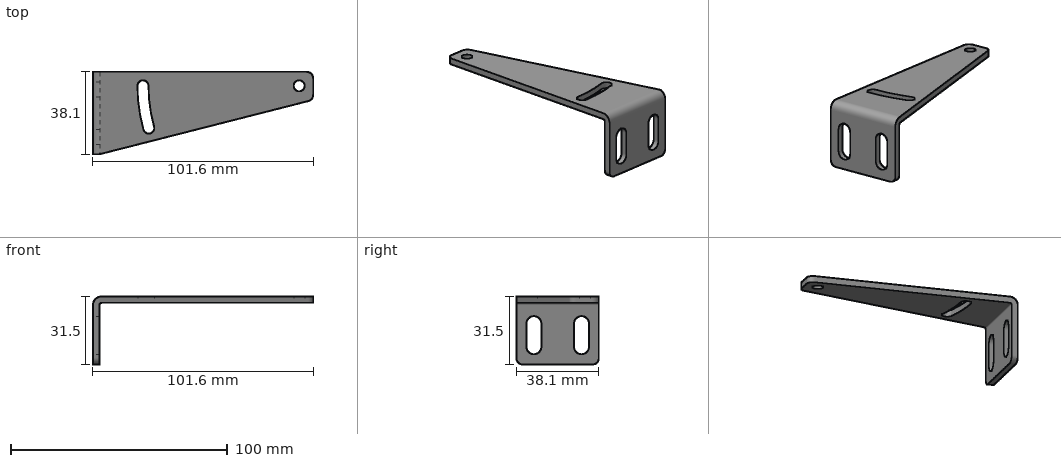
import cadquery as cq
import math

length = 101.6
width = 38.1
height = 31.5
thickness = 3.0
bend_outer_radius = 4.0
bend_inner_radius = bend_outer_radius - thickness

tip_width = 13.0
corner_radius = 3.0

pivot_diameter = 5.0
pivot_x = length - 6.5
pivot_y = width - 6.5
arc_slot_radius = 72.0
arc_slot_width = 5.0
arc_slot_sweep = 15.7

mount_slot_width = 6.8
mount_slot_length = 17.5
mount_slot_spacing = 21.9
mount_slot_edge = 8.1
mount_slot_z = 13.6


def make_bent_sheet():
    """L-shaped sheet with a rounded bend, running along Y."""
    profile = (
        cq.Workplane("XZ")
        .polyline([
            (0, 0),
            (thickness, 0),
            (thickness, height - thickness),
            (length, height - thickness),
            (length, height),
            (0, height),
        ])
        .close()
        .extrude(-width)
    )
    inner_corner = cq.NearestToPointSelector((thickness, width / 2, height - thickness))
    outer_corner = cq.NearestToPointSelector((0, width / 2, height))
    profile = profile.edges("|Y").edges(inner_corner).fillet(bend_inner_radius)
    return profile.edges("|Y").edges(outer_corner).fillet(bend_outer_radius)


def make_arm_outline():
    """Plan outline, full width at the bend and narrowing to a rounded tip."""
    return (
        cq.Workplane("XY")
        .polyline([
            (0, 0),
            (thickness, 0),
            (length, width - tip_width),
            (length, width),
            (0, width),
        ])
        .close()
        .extrude(height)
        .edges("|Z and >X")
        .fillet(corner_radius)
    )


def make_arc_slot():
    """Curved slot with round ends, starting level with the pivot and turning toward -Y."""
    def point(radius, angle):
        turn = math.radians(180 + angle)
        return (pivot_x + radius * math.cos(turn), pivot_y + radius * math.sin(turn))

    half_width = arc_slot_width / 2
    inner = arc_slot_radius - half_width
    outer = arc_slot_radius + half_width
    middle = arc_slot_sweep / 2
    end_overrun = math.degrees(half_width / arc_slot_radius)
    return (
        cq.Workplane("XY")
        .moveTo(*point(inner, 0))
        .threePointArc(point(inner, middle), point(inner, arc_slot_sweep))
        .threePointArc(point(arc_slot_radius, arc_slot_sweep + end_overrun), point(outer, arc_slot_sweep))
        .threePointArc(point(outer, middle), point(outer, 0))
        .threePointArc(point(arc_slot_radius, -end_overrun), point(inner, 0))
        .close()
        .extrude(height)
    )


def make_pivot_hole():
    return cq.Workplane("XY").center(pivot_x, pivot_y).circle(pivot_diameter / 2).extrude(height)


def make_mount_slots():
    """Pair of vertical slots through the flange."""
    centers = [
        (mount_slot_edge, mount_slot_z),
        (mount_slot_edge + mount_slot_spacing, mount_slot_z),
    ]
    return (
        cq.Workplane("YZ")
        .pushPoints(centers)
        .slot2D(mount_slot_length, mount_slot_width, 90)
        .extrude(thickness)
    )


bracket = make_bent_sheet().intersect(make_arm_outline())
bracket = bracket.faces("<Z").edges("|X").fillet(corner_radius)
result = bracket.cut(make_arc_slot()).cut(make_pivot_hole()).cut(make_mount_slots())